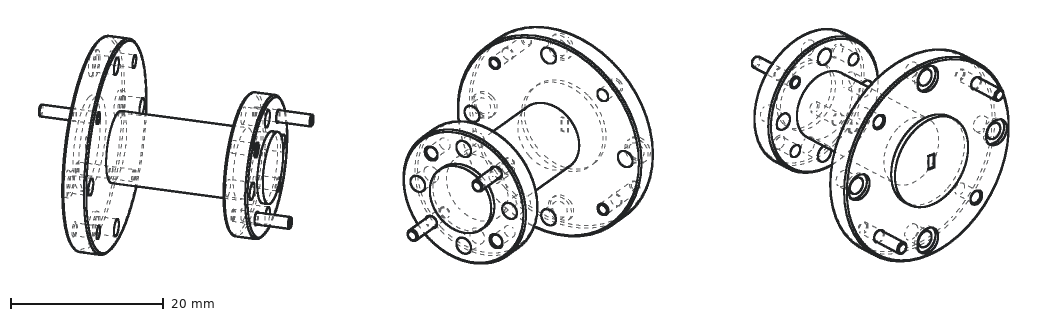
import cadquery as cq
import math

overall_length = 33.15
body_length = 25.4
boss_height = 0.75
flange_thickness = 3.28
flange_chamfer = 0.25

large_flange_diameter = 28.58
small_flange_diameter = 19.05
large_boss_diameter = 12.7
barrel_diameter = 9.55

large_circle_radius = 11.9
small_circle_radius = 7.13
screw_hole_diameter = 2.3
counterbore_diameter = 3.6
counterbore_depth = 0.53
mating_hole_diameter = 1.7
mating_hole_countersink = 0.15
pin_hole_countersink = 0.1

pin_diameter = 1.6
pin_chamfer = 0.15

port_width = 1.0
port_height = 2.0
port_depth = 0.2

body_end = body_length / 2
outer_face = body_end - boss_height
inner_face = outer_face - flange_thickness
pin_tip = overall_length / 2

screw_angles = [0, 90, 180, 270]
large_pin_angles = [135, 315]
large_mating_angles = [45, 225]
small_pin_angles = [45, 225]
small_mating_angles = [135, 315]


def rod(start_x, end_x, diameter, y=0.0, z=0.0):
    """Cylinder parallel to X between two X positions."""
    plane = cq.Plane(origin=(start_x, y, z), xDir=(0, 1, 0), normal=(1, 0, 0))
    return cq.Workplane(plane).circle(diameter / 2).extrude(end_x - start_x)


def circle_points(radius, angles):
    """(Y, Z) positions on a circle around the X axis."""
    points = []
    for angle in angles:
        turn = math.radians(angle)
        points.append((radius * math.cos(turn), radius * math.sin(turn)))
    return points


def countersink(side, diameter, size, y, z):
    """45 degree cone that opens a hole where it meets an outer flange face."""
    base = cq.Vector(side * outer_face, y, z)
    inward = cq.Vector(-side, 0, 0)
    cone = cq.Solid.makeCone(diameter / 2 + size, diameter / 2, size, base, inward)
    return cq.Workplane(cone)


def make_flange(side, diameter):
    """Plain flange disc with both rims chamfered; side is -1 or +1 along X."""
    disc = rod(side * inner_face, side * outer_face, diameter)
    return disc.faces("<X or >X").edges().chamfer(flange_chamfer)


def drill_flange(body, side, circle_radius, pin_angles, mating_angles):
    """Cut the screw, dowel and mating holes through one flange."""
    start_x = side * inner_face
    end_x = side * outer_face
    for y, z in circle_points(circle_radius, screw_angles):
        body = body.cut(rod(start_x, end_x, screw_hole_diameter, y, z))
    for y, z in circle_points(circle_radius, pin_angles):
        body = body.cut(rod(start_x, end_x, pin_diameter, y, z))
        body = body.cut(countersink(side, pin_diameter, pin_hole_countersink, y, z))
    for y, z in circle_points(circle_radius, mating_angles):
        body = body.cut(rod(start_x, end_x, mating_hole_diameter, y, z))
        body = body.cut(countersink(side, mating_hole_diameter, mating_hole_countersink, y, z))
    return body


def make_body():
    """Barrel with a large flange at -X and a small flange at +X."""
    body = rod(-inner_face, body_end, barrel_diameter)
    body = body.union(rod(-body_end, -inner_face, large_boss_diameter))
    body = body.union(make_flange(-1, large_flange_diameter))
    body = body.union(make_flange(1, small_flange_diameter))

    body = drill_flange(body, -1, large_circle_radius, large_pin_angles, large_mating_angles)
    body = drill_flange(body, 1, small_circle_radius, small_pin_angles, small_mating_angles)

    for y, z in circle_points(large_circle_radius, screw_angles):
        body = body.cut(rod(-outer_face, counterbore_depth - outer_face, counterbore_diameter, y, z))

    port = cq.Workplane("XY").box(port_depth, port_width, port_height)
    return body.cut(port.translate((port_depth / 2 - body_end, 0, 0)))


def make_pin(side, y, z):
    """Dowel pin from the inner flange face out past the boss, chamfered at both ends."""
    pin = rod(side * inner_face, side * pin_tip, pin_diameter, y, z)
    return pin.faces("<X or >X").edges().chamfer(pin_chamfer)


body = make_body()

pins = []
for y, z in circle_points(large_circle_radius, large_pin_angles):
    pins.append(make_pin(-1, y, z).val())
for y, z in circle_points(small_circle_radius, small_pin_angles):
    pins.append(make_pin(1, y, z).val())

result = cq.Compound.makeCompound([body.val(), *pins])